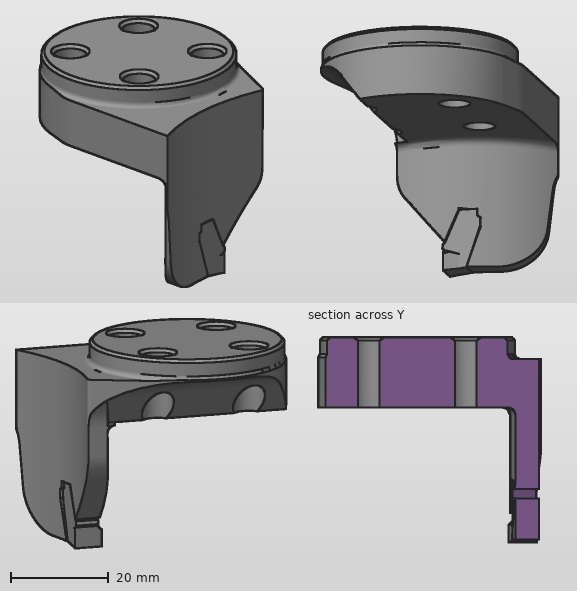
import cadquery as cq
import math

disc_radius = 40.0 / 2
disc_top = 14.45
disc_chamfer = 0.65
plate_radius = 20.3
plate_thickness = 10.0
collar_height = 1.0
front_y = -21.4
tip_x = 29.5
front_blend_radius = 10.0
rear_corner_radius = 1.0
front_tangent_angle = 18.3
rear_tangent_angle = 24.6

hole_diameter = 6.5
hole_pitch = 19.8
hole_chamfer = 0.7

outer_x = 24.3
outer_axis_y = 0.35
outer_rise = tip_x - outer_x
outer_radius = (outer_rise**2 + (front_y - outer_axis_y) ** 2) / (2 * outer_rise)
outer_axis_x = outer_x + outer_radius
inner_radius = 27.9
inner_x = 18.95
inner_axis_x = inner_x + inner_radius
leg_bottom = -27.0
leg_rear_y = 10.55
leg_shoulder_z = -6.55
front_relief_middle = (-20.85, -8.1)
front_relief_end = (-20.55, -9.8)
foot_round_start = (-19.65, -18.4)
foot_round_end_y = -10.1
rear_slope_start = (8.15, -12.05)
rear_round_middle = (9.95, -9.45)
leg_fillet = 1.5
scoop_radius = 9.95
scoop_axis_y = leg_rear_y + scoop_radius
scoop_foot_y = 7.8

insert_face_x = 19.45
edge_x = 18.6
edge_overhang = 0.2
edge_y = 0.2
tip_rear_y = -3.05
tip_relief_y = -0.75
tip_top = -23.2
tip_rear_top = -24.2
shank_top = -14.9
shank_rear_y = -3.05
shank_front_y = -6.8
seat_lead_in = 0.45
insert_bottom = -27.6
insert_rear = (-4.6, -27.1)
insert_neck = (-0.05, -21.55)
nose_lower = (0.55, -22.75)
nose_upper = (0.4, -21.85)
notch_z = -16.25
heel_y = -7.45
heel_top = -16.7
heel_bottom = -18.5

far = 99.6


def prism_along_x(sketch, x_start, x_end):
    """Extrude a closed Y-Z outline between two X positions."""
    return sketch.extrude(x_end - x_start).translate((x_start, 0, 0))


def cylinder(x, y, radius, bottom, top):
    return cq.Workplane("XY", origin=(x, y, bottom)).circle(radius).extrude(top - bottom)


def plate_blank(bottom, top):
    """Upright solid with the rounded outline of the plate."""
    front = math.radians(front_tangent_angle)
    rear = math.radians(rear_tangent_angle)
    front_tangent = (-plate_radius * math.sin(front), -plate_radius * math.cos(front))
    rear_tangent = (plate_radius * math.sin(rear), plate_radius * math.cos(rear))
    front_corner_x = (-front_y * math.cos(front) - plate_radius) / math.sin(front)
    rear_corner = (tip_x, (plate_radius - tip_x * math.sin(rear)) / math.cos(rear))
    blank = (
        cq.Workplane("XY", origin=(0, 0, bottom))
        .moveTo(*front_tangent)
        .lineTo(front_corner_x, front_y)
        .lineTo(tip_x, front_y)
        .lineTo(*rear_corner)
        .lineTo(*rear_tangent)
        .threePointArc((-plate_radius, 0), front_tangent)
        .close()
        .extrude(top - bottom)
    )
    blank = blank.edges(cq.NearestToPointSelector((front_corner_x, front_y, (bottom + top) / 2)))
    blank = blank.fillet(front_blend_radius)
    blank = blank.cut(cylinder(outer_axis_x, outer_axis_y, outer_radius, bottom, top))
    return blank.edges("|Z").edges(">(1, 1, 0)").fillet(rear_corner_radius)


def rear_scoop():
    """Hollow under the plate: an arc that runs out in a tangent slope."""
    tangent_angle = math.acos(scoop_radius / (scoop_axis_y - scoop_foot_y))
    tangent_y = scoop_axis_y - scoop_radius * math.cos(tangent_angle)
    tangent_z = scoop_radius * math.sin(tangent_angle)
    outline = (
        cq.Workplane("YZ")
        .moveTo(scoop_foot_y, 0)
        .lineTo(tangent_y, tangent_z)
        .tangentArcPoint((scoop_axis_y, scoop_radius), relative=False)
        .lineTo(scoop_axis_y, 0)
        .close()
    )
    return prism_along_x(outline, -far, far)


def disc():
    """Round disc on top of the plate, with the concave collar at its foot."""
    body = cylinder(0, 0, disc_radius, plate_thickness, disc_top).faces(">Z").chamfer(disc_chamfer)
    collar = (
        cq.Workplane("XZ")
        .moveTo(0, plate_thickness)
        .lineTo(disc_radius + collar_height, plate_thickness)
        .radiusArc((disc_radius, plate_thickness + collar_height), collar_height)
        .lineTo(0, plate_thickness + collar_height)
        .close()
        .revolve(360, (0, 0), (0, 1))
        .intersect(plate_blank(0, disc_top))
    )
    return body.union(collar)


def leg_side_profile():
    """Y-Z outline of the leg, from the plate down to the rounded foot."""
    outline = (
        cq.Workplane("YZ")
        .moveTo(front_y, plate_thickness)
        .lineTo(front_y, leg_shoulder_z)
        .threePointArc(front_relief_middle, front_relief_end)
        .lineTo(*foot_round_start)
        .tangentArcPoint((foot_round_end_y, leg_bottom), relative=False)
        .lineTo(insert_rear[0], leg_bottom)
        .lineTo(*insert_neck)
        .lineTo(*rear_slope_start)
        .threePointArc(rear_round_middle, (leg_rear_y, leg_shoulder_z))
        .lineTo(leg_rear_y, 0)
        .tangentArcPoint((scoop_axis_y, scoop_radius), relative=False)
        .lineTo(scoop_axis_y, plate_thickness)
        .close()
    )
    return prism_along_x(outline, 0, far)


def leg():
    """Curved leg with the flared root that blends it into the plate."""
    root = (
        cq.Workplane("XZ")
        .moveTo(0, -leg_fillet)
        .lineTo(inner_radius, -leg_fillet)
        .radiusArc((inner_radius + leg_fillet, 0), leg_fillet)
        .lineTo(0, 0)
        .close()
        .revolve(360, (0, 0), (0, 1))
        .translate((inner_axis_x, 0, 0))
    )
    column = cylinder(inner_axis_x, 0, inner_radius, leg_bottom, plate_thickness)
    blank = plate_blank(leg_bottom, plate_thickness)
    return column.union(root).intersect(blank).intersect(leg_side_profile())


def insert_plate(x_start, x_end):
    """Flat shank of the insert."""
    outline = cq.Workplane("YZ").polyline([
        (shank_rear_y, shank_top),
        (shank_front_y, shank_top),
        (shank_front_y, notch_z),
        (heel_y, heel_top),
        (heel_y, heel_bottom),
        insert_rear,
        (edge_y, insert_bottom),
        (edge_y, tip_top),
        nose_lower,
        nose_upper,
        insert_neck,
    ]).close()
    return prism_along_x(outline, x_start, x_end)


def cutting_tip():
    """Wider tip of the insert, relieved behind the edge and sloped on top."""
    bottom_slope = (insert_rear[1] - insert_bottom) / (edge_y - insert_rear[0])
    rear_bottom = insert_bottom + bottom_slope * (edge_y - tip_rear_y)
    side = cq.Workplane("YZ").polyline([
        (edge_y, insert_bottom),
        (edge_y, tip_top),
        (tip_rear_y, tip_rear_top),
        (tip_rear_y, rear_bottom),
    ]).close()
    plan = (
        cq.Workplane("XY", origin=(0, 0, insert_bottom))
        .polyline([
            (edge_x, edge_y),
            (outer_x + edge_overhang, edge_y),
            (outer_x, tip_relief_y),
            (outer_x, tip_rear_y),
            (insert_face_x, tip_rear_y),
        ])
        .close()
        .extrude(tip_top - insert_bottom)
    )
    step = insert_face_x - edge_x
    top_slope = (
        cq.Workplane("XZ")
        .polyline([(edge_x, tip_top - step), (insert_face_x, tip_top), (edge_x, tip_top)])
        .close()
        .extrude(far, both=True)
    )
    return prism_along_x(side, edge_x, outer_x + edge_overhang).intersect(plan).cut(top_slope)


def lead_in():
    """Wedge that slants the edge of the insert seat above the shank."""
    outer_end = insert_face_x - 2 * seat_lead_in
    return (
        cq.Workplane("XZ", origin=(0, shank_rear_y, 0))
        .polyline([
            (insert_face_x, shank_top),
            (outer_end, shank_top + 2 * seat_lead_in),
            (outer_end, shank_top),
        ])
        .close()
        .extrude(shank_rear_y - shank_front_y)
    )


def make_holder():
    holder = plate_blank(0, plate_thickness).cut(rear_scoop()).union(disc()).union(leg())
    holes = (
        cq.Workplane("XY", origin=(0, 0, disc_top))
        .rect(hole_pitch, hole_pitch, forConstruction=True)
        .vertices()
        .circle(hole_diameter / 2)
        .extrude(-disc_top)
    )
    countersinks = (
        cq.Workplane("XY", origin=(0, 0, disc_top))
        .rect(hole_pitch, hole_pitch, forConstruction=True)
        .vertices()
        .circle(hole_diameter / 2 + hole_chamfer)
        .extrude(-hole_chamfer, taper=45)
    )
    holder = holder.cut(holes).cut(countersinks)
    return holder.cut(insert_plate(0, far)).cut(lead_in())


def make_insert():
    return insert_plate(insert_face_x, outer_x).union(cutting_tip())


holder = make_holder()
insert = make_insert()
result = cq.Compound.makeCompound([holder.solids().val(), insert.solids().val()])